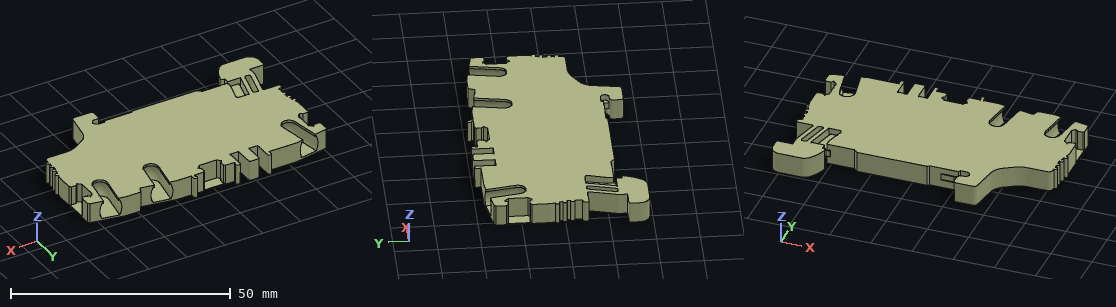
import cadquery as cq
import math


thickness = 5.2
half_width = 31.55
top_y = 37.25
shoulder_y = 35.7
waist_y = 14.0
belly_y = 6.6
belly_side_y = 7.5
belly_step_y = 7.0
face_tilt = 10.0
corner_radius = 0.4

tab_spans = [(-15.2, -14.25), (-11.9, -9.2), (-7.0, -6.0)]
tab_top_y = 38.7
tab_floor_y = 33.75
tab_rounding = 0.4
hook_radius = 0.5
hook_y = tab_top_y - hook_radius
hook_x = -6.35
peg_x = 4.8
peg_neck = 0.25

tooth_radius = 0.5
tooth_centres = [(31.3, 21.2), (30.95, 19.45), (30.65, 17.7)]
extra_tooth = (30.65, 16.0)
left_taper_x = -30.65
right_taper_x = 30.45
taper_top_y = 22.7
taper_bottom_y = 18.9

leg_lean = math.tan(math.radians(14.5))
leg_left_x = -29.1
leg_right_x = -25.4
leg_root_radius = 0.3
foot_left_x = -33.0
foot_top_y = 5.0
foot_radius = 2.45
foot_top_rounding = 0.45
spring_slot_bottom_y = 7.0
spring_slot_rounding = 0.45
leg_shift = leg_lean * (waist_y - spring_slot_bottom_y)
foot_right_x = -22.0
spring_gap = (-27.9, -26.5)
hip_x = -21.7
hip_y = 8.9

right_foot_y = 2.3
right_foot_left_x = 10.9
groove_radius = 1.0
groove_x = 12.3
groove_y = belly_side_y - groove_radius
groove_bottom_y = groove_y - groove_radius

wire_slot_centres = [(-24.95, 1), (11.45, -1), (24.95, -1)]
wire_slot_end_y = 29.7
wire_slot_radius = 1.8
wire_slot_length = 9.7
wire_slot_floor = 0.6
lip_thickness = 0.6
bore_floor_half_width = 2.15
bore_bulge_half_width = 2.65

pocket_floor = 0.3
pocket_depth = 3.0
side_pocket_y = 29.9
top_pocket_x = -0.85

plate_bottom = 2.15
plate_thickness = 1.55
plate_gap = 0.4
tongue_right_x = -20.8
tongue_tip_y = 7.2
groove_plate_x = 12.05


def prism(sketch_outline, bottom=0.0, height=thickness):
    return sketch_outline.extrude(height).translate((0, 0, bottom))


def polygon(points, bottom=0.0, height=thickness):
    return prism(cq.Workplane("XY").polyline(points).close(), bottom, height)


def block(left, right, low, high):
    return polygon([(left, low), (right, low), (right, high), (left, high)])


def disc(x, y, radius):
    return prism(cq.Workplane("XY").center(x, y).circle(radius))


def make_housing():
    return prism(
        cq.Workplane("XY")
        .moveTo(-half_width, shoulder_y - corner_radius)
        .lineTo(-half_width + corner_radius, shoulder_y)
        .lineTo(-22.55, top_y)
        .lineTo(9.15, top_y)
        .lineTo(17.95, shoulder_y)
        .lineTo(18.6, top_y)
        .lineTo(22.55, top_y)
        .lineTo(half_width - corner_radius, shoulder_y)
        .lineTo(half_width, shoulder_y - corner_radius)
        .lineTo(half_width, taper_top_y)
        .lineTo(right_taper_x, taper_bottom_y)
        .lineTo(right_taper_x, 14.9)
        .threePointArc((30.1, 14.25), (29.4, waist_y))
        .lineTo(24.55, waist_y)
        .threePointArc((23.25, 13.8), (22.0, 13.35))
        .lineTo(19.8, 12.05)
        .threePointArc((18.3, 10.75), (17.5, 8.95))
        .lineTo(16.5, 3.1)
        .threePointArc((16.25, 2.5), (15.7, right_foot_y))
        .lineTo(right_foot_left_x + 0.9, right_foot_y)
        .threePointArc((right_foot_left_x + 0.25, 2.5), (right_foot_left_x, 3.0))
        .lineTo(right_foot_left_x, 4.8)
        .threePointArc((11.15, 5.4), (11.7, groove_bottom_y))
        .lineTo(groove_x, groove_bottom_y)
        .threePointArc((groove_x + groove_radius, groove_y), (groove_x, belly_side_y))
        .lineTo(10.75, belly_side_y)
        .lineTo(10.4, belly_step_y)
        .lineTo(3.4, belly_step_y)
        .lineTo(3.0, belly_y)
        .lineTo(-14.05, belly_y)
        .lineTo(-15.0, belly_side_y)
        .lineTo(hip_x, belly_side_y)
        .lineTo(hip_x, hip_y)
        .lineTo(-20.5, 13.2)
        .threePointArc((-20.55, 13.75), (-21.1, waist_y))
        .lineTo(-31.2, waist_y)
        .threePointArc((-31.5, 14.1), (-31.6, 14.45))
        .lineTo(-31.6, 14.9)
        .threePointArc((-31.5, 15.15), (-31.2, 15.3))
        .lineTo(left_taper_x, 15.5)
        .lineTo(left_taper_x, taper_bottom_y)
        .lineTo(-half_width, taper_top_y)
        .close()
    )


def make_left_foot():
    foot = prism(
        cq.Workplane("XY")
        .moveTo(foot_left_x + foot_top_rounding, foot_top_y)
        .radiusArc((foot_left_x, foot_top_y - foot_top_rounding), -foot_top_rounding)
        .lineTo(foot_left_x, foot_radius)
        .radiusArc((foot_left_x + foot_radius, 0), -foot_radius)
        .lineTo(-24.8, 0)
        .threePointArc((-24.0, 0.3), (-23.25, 0.9))
        .threePointArc((-22.2, 2.45), (-21.25, 4.9))
        .threePointArc((-21.25, 5.5), (-21.65, 5.65))
        .lineTo(foot_right_x, 5.65)
        .lineTo(foot_right_x, spring_slot_bottom_y)
        .lineTo(leg_left_x, spring_slot_bottom_y)
        .lineTo(leg_left_x, foot_top_y)
        .close()
    )
    legs = polygon([
        (leg_left_x, spring_slot_bottom_y),
        (leg_right_x, spring_slot_bottom_y),
        (leg_right_x + leg_shift, waist_y),
        (leg_left_x + leg_shift, waist_y),
    ])
    gap_left, gap_right = spring_gap
    gap = polygon([
        (gap_left, spring_slot_bottom_y),
        (gap_right, spring_slot_bottom_y),
        (gap_right + leg_shift, waist_y),
        (gap_left + leg_shift, waist_y),
    ]).edges("|Z").fillet(spring_slot_rounding)
    return foot.union(legs).cut(gap)


def add_tabs(body):
    """Rounded marker tabs with gaps cut down between them, and a hooked peg further right."""
    for (_, gap_left), (gap_right, _) in zip(tab_spans, tab_spans[1:]):
        body = body.cut(block(gap_left, gap_right, tab_floor_y, tab_top_y))
    for left, right in tab_spans:
        tab = block(left, right, tab_floor_y, tab_top_y)
        body = body.union(tab.edges("|Z and >Y").fillet(tab_rounding))
    for x in (hook_x, peg_x):
        body = body.union(disc(x, hook_y, hook_radius))
    return body.union(block(peg_x - peg_neck, peg_x + hook_radius, tab_floor_y, hook_y))


def add_teeth(body):
    right_teeth = tooth_centres + [extra_tooth]
    left_teeth = [(-x, y) for x, y in tooth_centres]
    for x, y in right_teeth + left_teeth:
        body = body.union(disc(x, y, tooth_radius))
    return body


def bore_half_section():
    """Half of the flat-topped, flat-floored section that bulges the slot walls."""
    ceiling = thickness - lip_thickness
    middle = (wire_slot_floor + ceiling) / 2
    return (
        cq.Workplane("XZ")
        .moveTo(0, wire_slot_floor)
        .lineTo(bore_floor_half_width, wire_slot_floor)
        .threePointArc((bore_bulge_half_width, middle), (bore_floor_half_width, ceiling))
        .lineTo(0, ceiling)
        .close()
    )


def make_wire_slot(end_x, side):
    """Round-ended slot with bulged walls, open through the tilted face."""
    slot_depth = thickness - wire_slot_floor
    opening = (
        cq.Workplane("XY").circle(wire_slot_radius).extrude(slot_depth)
        .union(cq.Workplane("XY").rect(2 * wire_slot_radius, wire_slot_length).extrude(slot_depth)
               .translate((0, wire_slot_length / 2, 0)))
        .translate((0, 0, wire_slot_floor))
    )
    round_end = bore_half_section().revolve(360, (0, 0, 0), (0, 1, 0))
    half_run = bore_half_section().extrude(-wire_slot_length)
    bore = round_end.union(half_run).union(half_run.mirror("YZ"))
    slot = opening.union(bore)
    return slot.rotate((0, 0, 0), (0, 0, 1), side * face_tilt).translate((end_x, wire_slot_end_y, 0))


def make_pocket():
    """Latch pocket opening towards +X, with its mouth on X = 0."""
    half_outline = [(0, 2.9), (-0.3, 2.5), (-1.6, 2.5), (-2.15, 3.1), (-pocket_depth, 2.25)]
    other_half = [(x, -y) for x, y in reversed(half_outline)]
    return polygon(half_outline + other_half, pocket_floor)


def make_contact_plate():
    """Plate crossing the sprung slot, plus the strip that shows at the right foot."""
    left_x = leg_right_x + plate_gap
    tongue = polygon([
        (left_x, spring_slot_bottom_y),
        (foot_right_x, spring_slot_bottom_y),
        (foot_right_x, tongue_tip_y),
        (tongue_right_x, tongue_tip_y),
        (tongue_right_x, hip_y),
        (-21.9, hip_y),
        (tongue_right_x, 13.35),
        (tongue_right_x, waist_y),
        (left_x + leg_shift, waist_y),
    ], plate_bottom, plate_thickness)
    strip = polygon([
        (6.2, 6.85),
        (9.5, 6.75),
        (10.75, 7.3),
        (10.75, belly_side_y),
        (6.2, belly_side_y),
    ], plate_bottom, plate_thickness)
    groove_end = polygon([
        (groove_plate_x, groove_bottom_y),
        (groove_x + groove_radius, groove_bottom_y),
        (groove_x + groove_radius, belly_side_y),
        (groove_plate_x, belly_side_y),
    ], plate_bottom, plate_thickness)
    return tongue.union(strip).union(groove_end)


body = make_housing().union(make_left_foot())
leg_top = (leg_left_x + leg_shift, waist_y, thickness / 2)
body = body.edges(cq.NearestToPointSelector(leg_top)).fillet(leg_root_radius)
body = add_tabs(body)
body = add_teeth(body)
for end_x, side in wire_slot_centres:
    body = body.cut(make_wire_slot(end_x, side))

pocket = make_pocket()
body = body.cut(pocket.translate((half_width, side_pocket_y, 0)))
body = body.cut(pocket.mirror("YZ").translate((-half_width, side_pocket_y, 0)))
body = body.cut(pocket.rotate((0, 0, 0), (0, 0, 1), 90).translate((top_pocket_x, top_y, 0)))

result = body.union(make_contact_plate())